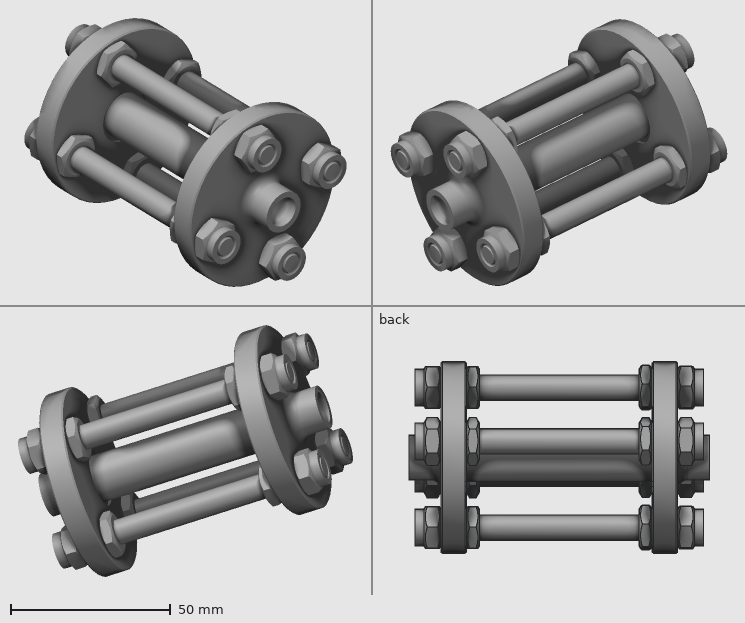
import cadquery as cq
import math

length = 94.0
bore_dia = 10.0

flange_dia = 60.0
flange_thickness = 8.0
flange_chamfer = 0.5

neck_dia = 14.0
neck_length = 10.0
neck_fillet = 3.0
tube_dia = 15.0
socket_dia = 18.0
socket_depth = 1.0

rod_count = 4
rod_circle_radius = 22.5
first_rod_angle = 103.0
rod_dia = 8.0
thread_minor_dia = 6.7
rod_tip_dia = 5.8

nut_across_corners = 15.0
nut_face_dia = 11.6
nut_chamfer_angle = 30.0
lock_nut_hex_height = 5.3
collar_height = 2.8
thin_nut_height = 4.0

left_lock_nut_turn = 3.4
left_thin_nut_turn = 8.5
right_nut_turn = 1.0

end_x = length / 2
flange_outer_x = end_x - neck_length
flange_inner_x = flange_outer_x - flange_thickness
socket_floor_x = flange_inner_x + socket_depth
collar_x = flange_outer_x + lock_nut_hex_height
rod_end_x = collar_x + collar_height
thin_nut_x = flange_inner_x - thin_nut_height


def cylinder(diameter, start_x, stop_x):
    """Solid cylinder about the X axis."""
    return cq.Workplane("YZ", origin=(start_x, 0, 0)).circle(diameter / 2).extrude(stop_x - start_x)


def turned(profile):
    """Close a profile of (x, radius) points and revolve it about the X axis."""
    return profile.close().revolve(360, (0, 0, 0), (1, 0, 0))


def flange_with_neck():
    """Right-hand flange with a filleted neck outside and a tube socket inside."""
    flange_radius = flange_dia / 2
    neck_radius = neck_dia / 2
    fillet_middle = neck_fillet * (1 - math.sqrt(0.5))
    return turned(
        cq.Workplane("XY")
        .moveTo(socket_floor_x, 0)
        .lineTo(socket_floor_x, socket_dia / 2)
        .lineTo(flange_inner_x, socket_dia / 2)
        .lineTo(flange_inner_x, flange_radius - flange_chamfer)
        .lineTo(flange_inner_x + flange_chamfer, flange_radius)
        .lineTo(flange_outer_x - flange_chamfer, flange_radius)
        .lineTo(flange_outer_x, flange_radius - flange_chamfer)
        .lineTo(flange_outer_x, neck_radius + neck_fillet)
        .threePointArc(
            (flange_outer_x + fillet_middle, neck_radius + fillet_middle),
            (flange_outer_x + neck_fillet, neck_radius),
        )
        .lineTo(end_x, neck_radius)
        .lineTo(end_x, 0)
    )


def hex_nut(start_x, height, turn):
    """Hexagon about the X axis with both faces chamfered to a circle."""
    face_radius = nut_face_dia / 2
    corner_radius = nut_across_corners / 2
    chamfer_depth = (corner_radius - face_radius) * math.tan(math.radians(nut_chamfer_angle))
    stop_x = start_x + height
    hexagon = (
        cq.Workplane("YZ", origin=(start_x, 0, 0))
        .polygon(6, nut_across_corners)
        .extrude(height)
        .rotate((0, 0, 0), (1, 0, 0), turn)
    )
    chamfered_blank = turned(
        cq.Workplane("XY")
        .moveTo(start_x, 0)
        .lineTo(start_x, face_radius)
        .lineTo(start_x + chamfer_depth, corner_radius)
        .lineTo(stop_x - chamfer_depth, corner_radius)
        .lineTo(stop_x, face_radius)
        .lineTo(stop_x, 0)
    )
    return hexagon.intersect(chamfered_blank)


def tip_groove():
    """V-groove between the collar's countersink and the chamfered rod tip, right-hand end."""
    outer_radius = rod_dia / 2
    root_radius = thread_minor_dia / 2
    return turned(
        cq.Workplane("XY")
        .moveTo(rod_end_x, outer_radius)
        .lineTo(rod_end_x - (outer_radius - root_radius), root_radius)
        .lineTo(rod_end_x, rod_tip_dia / 2)
    )


def tie_rod():
    """Rod with its two collars and four nuts, about the X axis."""
    rod = cylinder(rod_dia, -rod_end_x, rod_end_x)
    rod = rod.union(cylinder(nut_face_dia, collar_x, rod_end_x))
    rod = rod.union(cylinder(nut_face_dia, -rod_end_x, -collar_x))
    rod = rod.union(hex_nut(flange_outer_x, lock_nut_hex_height, right_nut_turn))
    rod = rod.union(hex_nut(thin_nut_x, thin_nut_height, right_nut_turn))
    rod = rod.union(hex_nut(-collar_x, lock_nut_hex_height, left_lock_nut_turn))
    rod = rod.union(hex_nut(-flange_inner_x, thin_nut_height, left_thin_nut_turn))
    groove = tip_groove()
    return rod.cut(groove).cut(groove.mirror("YZ"))


right_flange = flange_with_neck()
result = cylinder(tube_dia, -socket_floor_x, socket_floor_x)
result = result.union(right_flange).union(right_flange.mirror("YZ"))

first_angle = math.radians(first_rod_angle)
first_rod = tie_rod().translate(
    (0, rod_circle_radius * math.cos(first_angle), rod_circle_radius * math.sin(first_angle))
)
for index in range(rod_count):
    result = result.union(first_rod.rotate((0, 0, 0), (1, 0, 0), index * 360 / rod_count))

result = result.cut(cylinder(bore_dia, -end_x, end_x))